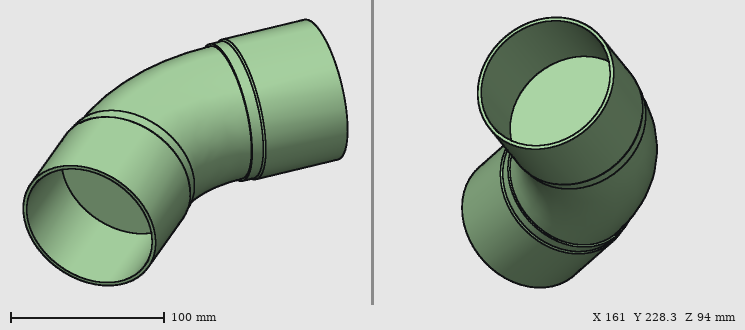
import cadquery as cq
import math

bend_angle = 45.0
bend_radius = 114.8
bend_diameter = 89.0
collar_diameter = 92.0
collar_length = 7.8
taper_length = 1.4
socket_diameter = 94.0
socket_length = 57.5
bore_diameter = 89.0
bore_depth = socket_length

end_length = socket_length + taper_length + collar_length


def make_end(plane):
    """Socket end: mouth on the plane, body running along the plane normal."""
    profile = [
        (0, 0),
        (socket_diameter / 2, 0),
        (socket_diameter / 2, socket_length),
        (collar_diameter / 2, socket_length + taper_length),
        (collar_diameter / 2, end_length),
        (0, end_length),
    ]
    body = cq.Workplane("XY").polyline(profile).close().revolve(360, (0, 0), (0, 1))
    bore = cq.Workplane("XZ").circle(bore_diameter / 2).extrude(-bore_depth)
    upright = body.cut(bore).rotate((0, 0, 0), (1, 0, 0), 90)
    return cq.Workplane(upright.val().moved(cq.Location(plane)))


def make_bend():
    """Solid elbow that starts along +Y and turns towards +X."""
    return (
        cq.Workplane("XZ", origin=(0, end_length, 0))
        .circle(bend_diameter / 2)
        .revolve(bend_angle, (bend_radius, 2.3), (bend_radius, 0))
    )


turn = math.radians(bend_angle)
far_x = bend_radius * (1 - math.cos(turn)) + end_length * math.sin(turn)
far_y = end_length + bend_radius * math.sin(turn) + end_length * math.cos(turn)

near_plane = cq.Plane(origin=(0, 0, 0), xDir=(1, 0, 0), normal=(0, 1, 0))
far_plane = cq.Plane(
    origin=(far_x, far_y, 0),
    xDir=(0, 0, 1),
    normal=(-math.sin(turn), -math.cos(turn), 0),
)

result = make_bend().union(make_end(near_plane)).union(make_end(far_plane))